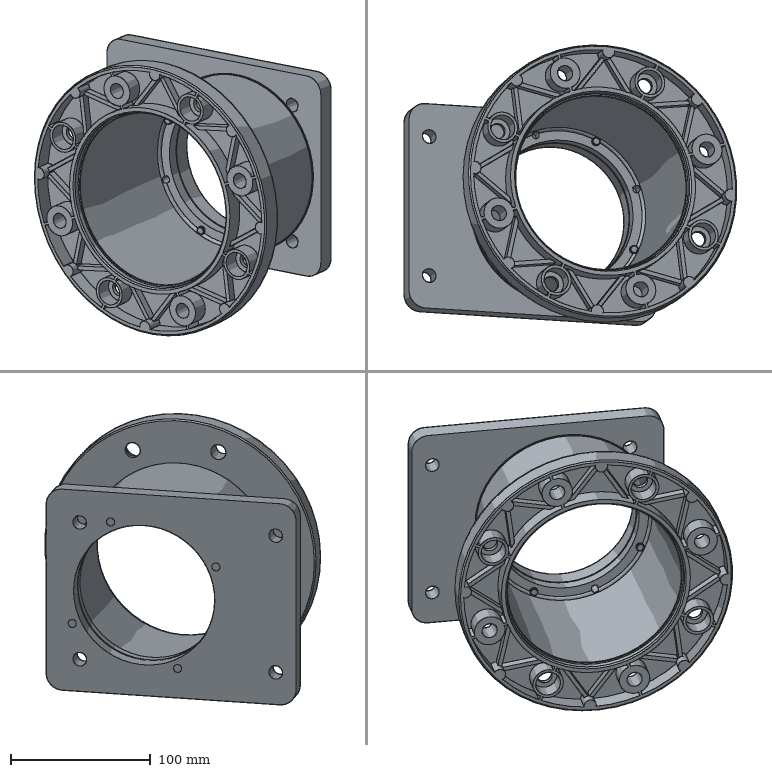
import cadquery as cq
import math

total_length = 126.0

plate_thickness = 13.3
plate_left = -112.0
plate_width = 184.1
plate_height = 150.0
plate_corner_radius = 12.0
plate_bore_diameter = 104.0
plate_hole_diameter = 10.0
plate_hole_left_inset = 15.0
plate_hole_spacing_x = 144.3
plate_hole_spacing_z = 102.0
plate_front = total_length - plate_thickness

flange_diameter = 200.0
flange_thickness = 16.0
flange_chamfer = 1.0
pocket_outer_diameter = 192.8
pocket_inner_diameter = 138.0
pocket_depth = 12.7

tube_diameter_at_flange = 135.0
tube_diameter_at_plate = 130.4
foot_diameter = 131.6
foot_thickness = 0.8
tube_bore_at_mouth = 127.0
tube_bore_at_lip = 122.7
lip_thickness = 8.5
lip_face = plate_front - lip_thickness
lip_bore_diameter = 105.0
lip_fillet = 2.1
mouth_diameter = 130.0
mouth_depth = 5.0
mouth_chamfer = 1.0
bore_edge_chamfer = 0.5

pattern_count = 8
pattern_step = 360 / pattern_count
pattern_turn = -25.0
boss_circle_radius = 82.5
boss_diameter = 22.2
bolt_hole_diameter = 11.0
counterbore_diameter = 18.0
counterbore_depth = 12.7
boss_rib_width = 2.0
lug_radius = 4.5
lug_centre_radius = 95.5
brace_width = 3.0
brace_recess = 6.5
brace_outer_radius = 92.0
brace_outer_spread = 1.0
brace_inner_spread = 17.9
overrun = 1.0

pin_circle_radius = 58.5
pin_diameter = 6.0
pin_tip_chamfer = 0.53
pin_protrusion = 2.0
pin_tip = lip_face - pin_protrusion
lip_hole_diameter = 5.0


def polar_point(radius, angle):
    """X and Z of a point around the flange axis; the angle goes from +X towards +Z."""
    return radius * math.cos(math.radians(angle)), radius * math.sin(math.radians(angle))


def cylinder(diameter, y_start, y_end, radius=0.0, angle=0.0):
    """Cylinder along Y, its axis at a polar position around the flange axis."""
    x, z = polar_point(radius, angle)
    return cq.Workplane(cq.Solid.makeCylinder(
        diameter / 2, y_end - y_start, cq.Vector(x, y_start, z), cq.Vector(0, 1, 0)))


def bar(start, end, width, y_start, y_end):
    """Straight bar between two polar positions (radius, angle) around the flange axis."""
    x1, z1 = polar_point(*start)
    x2, z2 = polar_point(*end)
    length = math.hypot(x2 - x1, z2 - z1)
    direction = math.degrees(math.atan2(z2 - z1, x2 - x1))
    return (
        cq.Workplane("XY")
        .box(length, y_end - y_start, width)
        .rotate((0, 0, 0), (0, 1, 0), -direction)
        .translate(((x1 + x2) / 2, (y_start + y_end) / 2, (z1 + z2) / 2))
    )


def make_shell():
    """Flange disc and tapered tube, turned about the Y axis and hollow."""
    flange_radius = flange_diameter / 2
    outline = [
        (mouth_diameter / 2 + mouth_chamfer, 0),
        (flange_radius - flange_chamfer, 0),
        (flange_radius, flange_chamfer),
        (flange_radius, flange_thickness - flange_chamfer),
        (flange_radius - flange_chamfer, flange_thickness),
        (tube_diameter_at_flange / 2, flange_thickness),
        (tube_diameter_at_plate / 2, plate_front - foot_thickness),
        (foot_diameter / 2, plate_front - foot_thickness),
        (foot_diameter / 2, plate_front),
        (lip_bore_diameter / 2, plate_front),
        (lip_bore_diameter / 2, lip_face),
        (tube_bore_at_lip / 2 - lip_fillet, lip_face),
    ]
    return (
        cq.Workplane("XY")
        .polyline(outline)
        .radiusArc((tube_bore_at_lip / 2, lip_face - lip_fillet), -lip_fillet)
        .lineTo(tube_bore_at_mouth / 2, mouth_depth + bore_edge_chamfer)
        .lineTo(tube_bore_at_mouth / 2 + bore_edge_chamfer, mouth_depth)
        .lineTo(mouth_diameter / 2, mouth_depth)
        .lineTo(mouth_diameter / 2, mouth_chamfer)
        .close()
        .revolve(360, (0, 0, 0), (0, 1, 0))
    )


def make_pocket():
    """Ring cut into the flange face, less the bosses, ribs, lugs and braces left standing."""
    pocket_inner = pocket_inner_diameter / 2
    pocket_outer = pocket_outer_diameter / 2
    ring = cylinder(pocket_outer_diameter, 0, pocket_depth).cut(
        cylinder(pocket_inner_diameter, 0, pocket_depth))
    for index in range(pattern_count):
        boss_angle = index * pattern_step
        lug_angle = boss_angle + pattern_step / 2
        ring = ring.cut(cylinder(boss_diameter, 0, pocket_depth, boss_circle_radius, boss_angle))
        ring = ring.cut(bar((pocket_inner - overrun, boss_angle), (pocket_outer + overrun, boss_angle),
                            boss_rib_width, 0, pocket_depth))
        ring = ring.cut(cylinder(2 * lug_radius, 0, pocket_depth, lug_centre_radius, lug_angle))
        for side in (-1, 1):
            ring = ring.cut(bar((brace_outer_radius, lug_angle + side * brace_outer_spread),
                                (pocket_inner - overrun, lug_angle + side * brace_inner_spread),
                                brace_width, brace_recess, pocket_depth))
    return ring


def make_housing():
    """Shell with its pocket and holes, built with the first boss on X and then turned into place."""
    housing = make_shell().cut(make_pocket())
    for index in range(pattern_count):
        angle = index * pattern_step
        housing = housing.cut(
            cylinder(bolt_hole_diameter, 0, flange_thickness, boss_circle_radius, angle))
        has_pin = index % 2 == 0
        if has_pin:
            housing = housing.cut(
                cylinder(counterbore_diameter, 0, counterbore_depth, boss_circle_radius, angle))
        hole_diameter = pin_diameter if has_pin else lip_hole_diameter
        housing = housing.cut(
            cylinder(hole_diameter, pin_tip, plate_front, pin_circle_radius, angle))
    return housing.rotate((0, 0, 0), (0, 1, 0), -pattern_turn)


def make_plate(pins):
    """Rounded plate with its bore, corner bolt holes and matching holes for the pins."""
    plate = (
        cq.Workplane("XY")
        .box(plate_width, plate_thickness, plate_height)
        .edges("|Y")
        .fillet(plate_corner_radius)
        .translate((plate_left + plate_width / 2, plate_front + plate_thickness / 2, 0))
    )
    plate = plate.cut(cylinder(plate_bore_diameter, plate_front, total_length))
    hole_left = plate_left + plate_hole_left_inset
    for x in (hole_left, hole_left + plate_hole_spacing_x):
        for z in (-plate_hole_spacing_z / 2, plate_hole_spacing_z / 2):
            plate = plate.cut(
                cylinder(plate_hole_diameter, plate_front, total_length).translate((x, 0, z)))
    for pin in pins:
        plate = plate.cut(pin)
    return plate


def make_pin(angle):
    """Pin from the chamfered tip inside the tube to the outer face of the plate."""
    return (
        cylinder(pin_diameter, pin_tip, total_length, pin_circle_radius, angle)
        .faces("<Y")
        .chamfer(pin_tip_chamfer)
    )


pins = [make_pin(pattern_turn + index * pattern_step) for index in range(0, pattern_count, 2)]
housing = make_housing()
plate = make_plate(pins)

result = cq.Compound.makeCompound([housing.val(), plate.val(), *[pin.val() for pin in pins]])